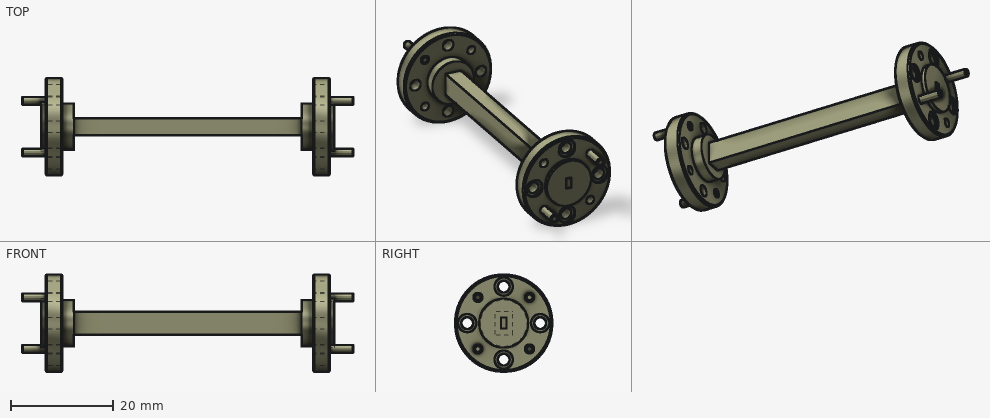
import cadquery as cq
import math

overall_length = 64.9
pin_protrusion = 4.6
flange_thickness = 3.4
boss_height = 0.85
hub_length = 2.2

flange_diameter = 19.1
flange_chamfer = 0.3
boss_diameter = 9.6
hub_diameter = 9.1

bolt_circle_diameter = 14.3
screw_hole_diameter = 2.3
dowel_hole_diameter = 1.7
counterbore_diameter = 3.6
counterbore_depth = 0.45
screw_angles = [0, 90, 180, 270]
dowel_angles = [45, 135, 225, 315]

pin_diameter = 1.55
pin_chamfer = 0.2
left_pin_angles = [135, 315]
right_pin_angles = [45, 225]

tube_width = 3.4
tube_height = 4.55
aperture_width = 1.05
aperture_height = 2.15
aperture_depth = 0.2

pin_tip = overall_length / 2
flange_face = pin_tip - pin_protrusion
boss_face = flange_face + boss_height
flange_back = flange_face - flange_thickness
hub_end = flange_back - hub_length
counterbore_floor = flange_face - counterbore_depth


def cylinder_x(diameter, start, end, y=0, z=0):
    """Cylinder along X from start to end, with its axis at (y, z)."""
    plane = cq.Workplane("YZ", origin=(start, y, z))
    return plane.circle(diameter / 2).extrude(end - start)


def bolt_circle_point(angle):
    """(y, z) of a point on the bolt circle; the angle runs from +Y toward +Z."""
    radius = bolt_circle_diameter / 2
    turn = math.radians(angle)
    return radius * math.cos(turn), radius * math.sin(turn)


def make_flange(side):
    """Flange with boss, collar and holes at the end given by side (+1 or -1)."""
    disc = cylinder_x(flange_diameter, side * flange_back, side * flange_face)
    flange = disc.edges().chamfer(flange_chamfer)
    flange = flange.union(cylinder_x(boss_diameter, side * flange_back, side * boss_face))
    flange = flange.union(cylinder_x(hub_diameter, side * hub_end, side * flange_back))

    back = side * flange_back
    floor = side * counterbore_floor
    face = side * flange_face
    for angle in screw_angles:
        y, z = bolt_circle_point(angle)
        flange = flange.cut(cylinder_x(screw_hole_diameter, back, face, y, z))
        flange = flange.cut(cylinder_x(counterbore_diameter, floor, face, y, z))
    for angle in dowel_angles:
        y, z = bolt_circle_point(angle)
        flange = flange.cut(cylinder_x(dowel_hole_diameter, back, face, y, z))
    return flange


def make_aperture(side):
    """Shallow rectangular recess in the boss face at one end."""
    center_x = side * (boss_face - aperture_depth / 2)
    recess = cq.Workplane("XY").box(aperture_depth, aperture_width, aperture_height)
    return recess.translate((center_x, 0, 0))


def make_waveguide():
    """Rectangular tube with a flange at each end, as one solid."""
    waveguide = cq.Workplane("XY").box(2 * hub_end, tube_width, tube_height)
    for side in (-1, 1):
        waveguide = waveguide.union(make_flange(side))
        waveguide = waveguide.cut(make_aperture(side))
    return waveguide


def make_pin(side, angle):
    """Dowel pin flush with the flange back, chamfered at both ends."""
    y, z = bolt_circle_point(angle)
    pin = cylinder_x(pin_diameter, side * flange_back, side * pin_tip, y, z)
    return pin.faces("<X or >X").chamfer(pin_chamfer)


waveguide = make_waveguide()
pins = []
for side, angles in ((-1, left_pin_angles), (1, right_pin_angles)):
    for angle in angles:
        pins.append(make_pin(side, angle).val())

result = cq.Compound.makeCompound([waveguide.val(), *pins])